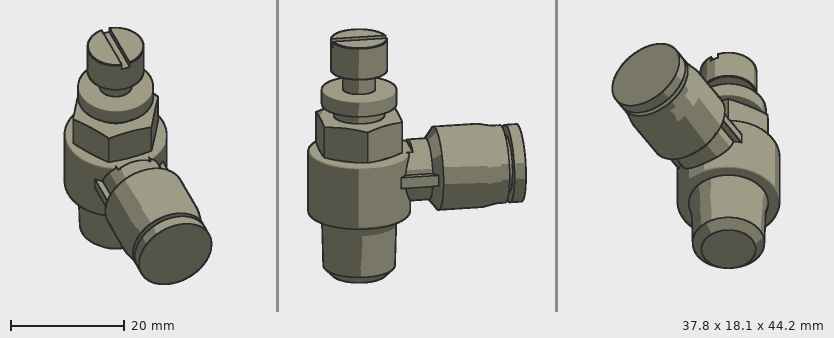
import cadquery as cq
import math

tip_top = 1.6
taper_top = 9.45
body_bottom = 11.5
body_top = 23.35
hex_top = 29.8
collar_top = 31.82
disc_top = 34.75
stem_top = 38.2
head_top = 44.2

tip_diameter = 9.6
thread_bottom_diameter = 12.75
thread_top_diameter = 13.15
shoulder_diameter = 14.0
body_diameter = 18.1
body_edge_radius = 0.5
hex_across_flats = 14.0
hex_face_diameter = 13.3
hex_chamfer_angle = 15.0
hex_turn = 30.0
collar_diameter = 9.0
disc_diameter = 13.3
disc_edge_radius = 0.2
stem_diameter = 5.8
head_diameter = 10.0
head_edge_chamfer = 0.15
slot_width = 1.5
slot_depth = 1.0

branch_height = 18.87
body_radius = body_diameter / 2
neck_end = 12.25
socket_start = 13.8
socket_end = 21.75
rim_start = 24.3
rim_end = 25.75
ring_start = 26.65
branch_end = 28.75
neck_diameter = 10.87
socket_diameter = 14.8
rim_diameter = 13.8
groove_diameter = 10.0
rib_span = 12.9
rib_thickness = 2.05


def cylinder(diameter, bottom, top):
    return cq.Workplane("XY").workplane(offset=bottom).circle(diameter / 2).extrude(top - bottom)


def make_stud():
    """Tapered stud below the body, revolved about Z."""
    outline = [
        (0, 0),
        (tip_diameter / 2, 0),
        (thread_bottom_diameter / 2, tip_top),
        (thread_top_diameter / 2, taper_top),
        (shoulder_diameter / 2, body_bottom),
        (0, body_bottom),
    ]
    return cq.Workplane("XZ").polyline(outline).close().revolve(360, (0, 0), (0, 1))


def make_hex():
    """Hexagon with corners on the Y axis, both ends turned to a shallow cone."""
    corner_radius = hex_across_flats / math.sqrt(3)
    face_radius = hex_face_diameter / 2
    cone_height = (corner_radius - face_radius) * math.tan(math.radians(hex_chamfer_angle))
    prism = (
        cq.Workplane("XY", origin=(0, 0, body_top))
        .polygon(6, 2 * corner_radius)
        .extrude(hex_top - body_top)
        .rotate((0, 0, 0), (0, 0, 1), hex_turn)
    )
    outline = [
        (0, body_top),
        (face_radius, body_top),
        (corner_radius, body_top + cone_height),
        (corner_radius, hex_top - cone_height),
        (face_radius, hex_top),
        (0, hex_top),
    ]
    envelope = cq.Workplane("XZ").polyline(outline).close().revolve(360, (0, 0), (0, 1))
    return prism.intersect(envelope)


def make_screw():
    """Collar, lock disc, stem and slotted head."""
    collar = cylinder(collar_diameter, hex_top, collar_top)
    disc = cylinder(disc_diameter, collar_top, disc_top).edges().fillet(disc_edge_radius)
    stem = cylinder(stem_diameter, disc_top, stem_top)
    head = cylinder(head_diameter, stem_top, head_top).edges().chamfer(head_edge_chamfer)
    slot = cq.Workplane("XY", origin=(0, 0, head_top)).box(
        head_diameter, slot_width, 2 * slot_depth
    )
    return collar.union(disc).union(stem).union(head.cut(slot))


def make_branch():
    """Tube socket, revolved about a line parallel to X, with a rib on either side of its neck."""
    outline = [
        (0, 0),
        (0, neck_diameter / 2),
        (neck_end, neck_diameter / 2),
        (socket_start, socket_diameter / 2),
        (socket_end, socket_diameter / 2),
        (rim_start, rim_diameter / 2),
        (rim_end, rim_diameter / 2),
        (rim_end, groove_diameter / 2),
        (ring_start, groove_diameter / 2),
        (ring_start, rim_diameter / 2),
        (branch_end, rim_diameter / 2),
        (branch_end, 0),
    ]
    socket = (
        cq.Workplane("XZ", origin=(0, 0, branch_height))
        .polyline(outline)
        .close()
        .revolve(360, (0, 0), (1, 0))
    )
    neck_relief = cq.Workplane("XY", origin=(0, 0, body_top)).box(
        body_radius, neck_diameter, neck_diameter, centered=(False, True, False)
    )
    ribs = cq.Workplane("XY", origin=(0, 0, branch_height)).box(
        socket_start, rib_span, rib_thickness, centered=(False, True, True)
    )
    return socket.cut(neck_relief).union(ribs)


body = cylinder(body_diameter, body_bottom, body_top).edges().fillet(body_edge_radius)
result = make_stud().union(body).union(make_branch()).union(make_hex()).union(make_screw())